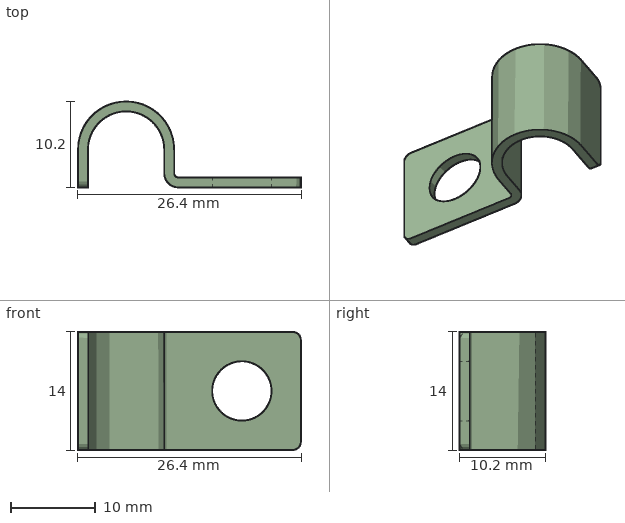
import cadquery as cq
import math


thickness = 1.2
strip_width = 14.0
saddle_inner_radius = 4.5
leg_length = 4.5
bend_inner_radius = 0.5
flange_end_x = 20.7
hole_diameter = 7.0
hole_x = 13.7
corner_radius = 1.0

saddle_outer_radius = saddle_inner_radius + thickness
bend_outer_radius = bend_inner_radius + thickness
flange_front_y = -leg_length
flange_back_y = flange_front_y + thickness
bend_center_x = saddle_outer_radius + bend_inner_radius
bend_center_y = flange_back_y + bend_inner_radius


def bend_midpoint(radius):
    """Point halfway round the quarter bend between leg and flange."""
    offset = radius * math.sqrt(0.5)
    return bend_center_x - offset, bend_center_y - offset


def make_strip():
    """Bent strip: constant-thickness profile extruded along Z."""
    return (
        cq.Workplane("XY")
        .moveTo(-saddle_outer_radius, flange_front_y)
        .lineTo(-saddle_outer_radius, 0)
        .threePointArc((0, saddle_outer_radius), (saddle_outer_radius, 0))
        .lineTo(saddle_outer_radius, bend_center_y)
        .threePointArc(bend_midpoint(bend_inner_radius), (bend_center_x, flange_back_y))
        .lineTo(flange_end_x, flange_back_y)
        .lineTo(flange_end_x, flange_front_y)
        .lineTo(bend_center_x, flange_front_y)
        .threePointArc(bend_midpoint(bend_outer_radius), (saddle_inner_radius, bend_center_y))
        .lineTo(saddle_inner_radius, 0)
        .threePointArc((0, saddle_inner_radius), (-saddle_inner_radius, 0))
        .lineTo(-saddle_inner_radius, flange_front_y)
        .close()
        .extrude(strip_width / 2, both=True)
    )


def round_corners(strip):
    """Round the two corners at the flange end and the two at the free leg end."""
    strip = strip.faces(">X").edges("|Y").fillet(corner_radius)
    return strip.edges("|X").edges("<X").fillet(corner_radius)


def make_hole():
    """Round cutter through the flange, parallel to Y."""
    return (
        cq.Workplane("XZ", origin=(hole_x, flange_back_y, 0))
        .circle(hole_diameter / 2)
        .extrude(thickness)
    )


result = round_corners(make_strip()).cut(make_hole())